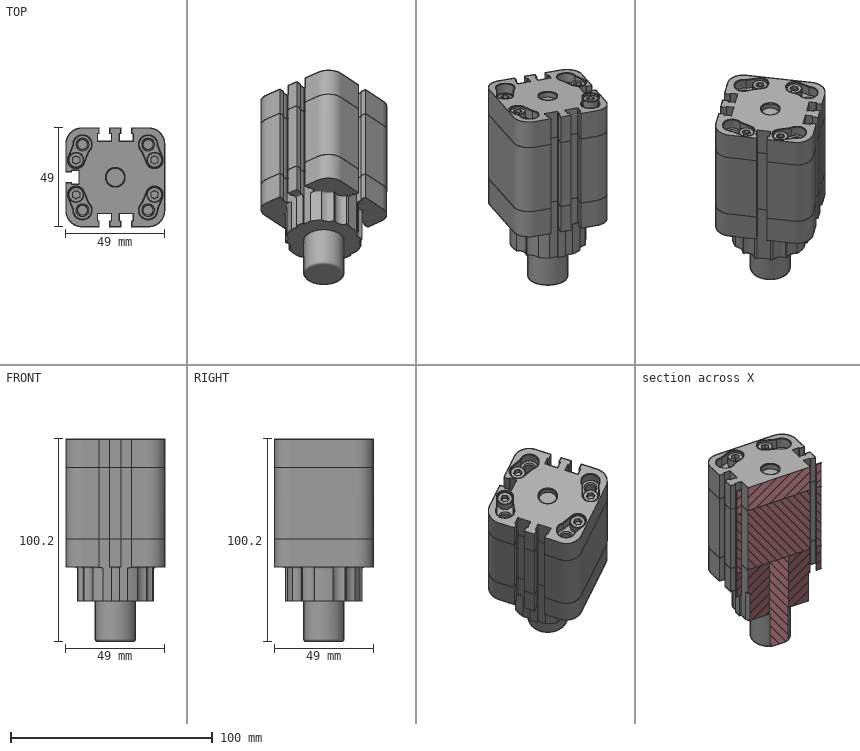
import cadquery as cq
import math

rod_reach = 20.0
nose_length = 16.8
front_cap_height = 13.9
barrel_height = 35.4
rear_cap_height = 14.14
nose_z = rod_reach
front_cap_z = nose_z + nose_length
barrel_z = front_cap_z + front_cap_height
rear_cap_z = barrel_z + barrel_height
top_z = rear_cap_z + rear_cap_height

body_width = 49.0
half_width = body_width / 2
corner_radius = 8.0
front_cap_corner_radius = 8.25

slot_mouth_width = 5.3
slot_mouth_depth = 2.9
slot_inner_width = 6.8
slot_depth = 6.5
slot_offset = 5.4

mount_hole_xy = 16.25
screw_x = 19.4
screw_y = 8.6
quadrants = [(sx, sy) for sx in (-1, 1) for sy in (-1, 1)]

recess_depth = 5.3
recess_width = 8.0
recess_hole_end_diameter = 9.0
recess_chamfer = 0.3
mount_hole_diameter = 4.92
mount_hole_mouth_diameter = 6.3
mount_hole_depth = rear_cap_height - recess_depth

screw_head_diameter = 7.5
screw_head_height = 4.3
screw_head_chamfer = 0.2
socket_flats = 3.6
socket_depth = 2.5

centre_bore_diameter = 9.0
centre_bore_depth = 3.0
centre_bore_chamfer = 0.4

nose_diameter = 38.0
mount_flute_diameter = 10.5
screw_flute_diameter = 8.2
nose_root_fillet = 0.8

rod_diameter = 20.0
rod_tip_fillet = 1.2


def disc(x, y, z, diameter, height):
    """Vertical cylinder standing on height z."""
    return cq.Workplane("XY", origin=(x, y, z)).circle(diameter / 2).extrude(height)


def square_block(z, height, radius):
    """Block of the common square section with rounded vertical edges."""
    block = cq.Workplane("XY", origin=(0, 0, z)).rect(body_width, body_width).extrude(height)
    return block.edges("|Z").fillet(radius)


def t_slot():
    """Full-height cutter for a T-slot opening toward -Y at X = 0."""
    mouth = cq.Workplane("XY").rect(slot_mouth_width, 2 * slot_mouth_depth).extrude(top_z)
    inner_depth = slot_depth - slot_mouth_depth
    inner_y = slot_mouth_depth + inner_depth / 2
    inner = cq.Workplane("XY").center(0, inner_y).rect(slot_inner_width, inner_depth).extrude(top_z)
    return mouth.union(inner).translate((0, -half_width, 0))


def cut_t_slots(body):
    for x in (-slot_offset, slot_offset):
        for turn in (0, 180):
            body = body.cut(t_slot().translate((x, 0, 0)).rotate((0, 0, 0), (0, 0, 1), turn))
    return body.cut(t_slot().rotate((0, 0, 0), (0, 0, 1), -90))


def screw_recess(sx, sy):
    """Slot from the screw to the mounting hole, with a rounder end at the hole."""
    hole_x = sx * mount_hole_xy
    hole_y = sy * mount_hole_xy
    run_x = hole_x - sx * screw_x
    run_y = hole_y - sy * screw_y
    run = math.hypot(run_x, run_y)
    floor_z = top_z - recess_depth
    middle = ((hole_x + sx * screw_x) / 2, (hole_y + sy * screw_y) / 2)
    slot = (
        cq.Workplane("XY", origin=(*middle, floor_z))
        .slot2D(run + recess_width, recess_width, math.degrees(math.atan2(run_y, run_x)))
        .extrude(recess_depth)
    )
    return slot.union(disc(hole_x, hole_y, floor_z, recess_hole_end_diameter, recess_depth))


def mount_hole(sx, sy):
    """Hole from the recess floor to the barrel, with a 45 degree countersunk mouth."""
    hole_radius = mount_hole_diameter / 2
    mouth_radius = mount_hole_mouth_diameter / 2
    profile = [
        (0, 0),
        (mouth_radius, 0),
        (hole_radius, hole_radius - mouth_radius),
        (hole_radius, -mount_hole_depth),
        (0, -mount_hole_depth),
    ]
    hole = cq.Workplane("XZ").polyline(profile).close().revolve(360, (0, 0, 0), (0, 1, 0))
    return hole.translate((sx * mount_hole_xy, sy * mount_hole_xy, top_z - recess_depth))


def screw_head(sx, sy):
    floor_z = top_z - recess_depth
    head = disc(sx * screw_x, sy * screw_y, floor_z, screw_head_diameter, screw_head_height)
    head = head.faces(">Z").chamfer(screw_head_chamfer)
    socket = (
        cq.Workplane("XY")
        .polygon(6, socket_flats, circumscribed=True)
        .extrude(-socket_depth)
        .translate((sx * screw_x, sy * screw_y, floor_z + screw_head_height))
    )
    return head.cut(socket)


def make_rear_cap():
    cap = cut_t_slots(square_block(rear_cap_z, rear_cap_height, corner_radius))
    cap = cap.cut(disc(0, 0, top_z - centre_bore_depth, centre_bore_diameter, centre_bore_depth))
    bore_rim = cq.selectors.NearestToPointSelector((centre_bore_diameter / 2, 0, top_z))
    cap = cap.faces(">Z").edges("%CIRCLE").edges(bore_rim).chamfer(centre_bore_chamfer)
    for sx, sy in quadrants:
        recess = screw_recess(sx, sy)
        flare = recess.faces(">Z").wires().toPending().workplane().offset2D(recess_chamfer)
        flare = flare.extrude(-recess_chamfer, taper=45, combine=False)
        cap = cap.cut(recess).cut(flare)
        cap = cap.cut(mount_hole(sx, sy)).union(screw_head(sx, sy))
    return cap


def make_barrel():
    return cut_t_slots(square_block(barrel_z, barrel_height, corner_radius))


def make_front_cap():
    cap = square_block(front_cap_z, front_cap_height, front_cap_corner_radius)
    cap = cap.union(disc(0, 0, nose_z, nose_diameter, nose_length))
    root_circle = cq.selectors.NearestToPointSelector((nose_diameter / 2, 0, front_cap_z))
    cap = cap.edges("%CIRCLE").edges(root_circle).fillet(nose_root_fillet)
    for sx, sy in quadrants:
        flute_x = sx * mount_hole_xy
        flute_y = sy * mount_hole_xy
        mount_flute = disc(flute_x, flute_y, nose_z, mount_flute_diameter, nose_length)
        mount_flute = mount_flute.faces(">Z").edges().fillet(nose_root_fillet)
        screw_flute = disc(sx * screw_x, sy * screw_y, nose_z, screw_flute_diameter, nose_length)
        cap = cap.cut(mount_flute).cut(screw_flute)
    cap = cut_t_slots(cap)
    return cap.cut(disc(0, 0, nose_z, rod_diameter, barrel_z - nose_z))


def make_rod():
    rod = disc(0, 0, 0, rod_diameter, barrel_z)
    return rod.faces("<Z").edges().fillet(rod_tip_fillet)


rear_cap = make_rear_cap()
barrel = make_barrel()
front_cap = make_front_cap()
rod = make_rod()

result = cq.Compound.makeCompound([rear_cap.val(), barrel.val(), front_cap.val(), rod.val()])